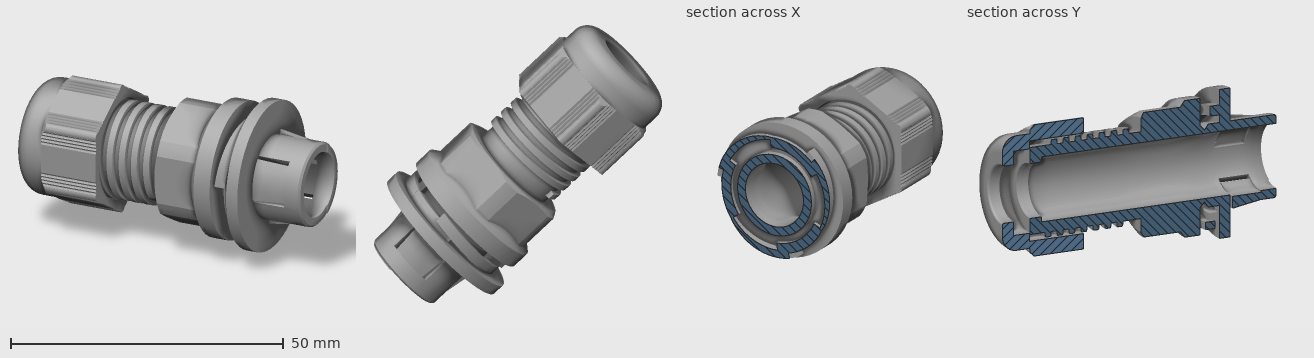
import cadquery as cq
import math

ACROSS_FLATS = 21.92
APOTHEM = ACROSS_FLATS / 2
HEX_SIDES = 6
OVERLAP = 0.2

CAP_LENGTH = 17.0
DOME_LENGTH = 5.78
DOME_RADIUS = 2.99
MOUTH_RADIUS = 10.8 / 2
MOUTH_ROUND = 0.45
MOUTH_DEPTH = 2.4
SEAL_CAVITY_RADIUS = 15.98 / 2
CAP_BORE_RADIUS = 19.05 / 2
CORNER_CLIP_RADIUS = 12.2
RIB_WIDTH = 1.96
RIB_ROUND = 0.9
RIB_TIP_RADIUS = 12.53
GRIP_CHAMFER = 0.9
SERRATIONS = 4
SERRATION_START = 2.78
SERRATION_WIDTH = 0.65
SERRATION_DEPTH = 0.25

BARREL_RADIUS = 16.64 / 2
CREST_RADIUS = 18.5 / 2
THREAD_PITCH = 2.5
CREST_WIDTH = 1.2
THREAD_ROOT_WIDTH = 1.4
THREAD_TURNS = 7.35
THREAD_START = 8.33
THREAD_START_ANGLE = 90

HEX_START = 28.93
HEX_CORNER_RADIUS = 23.8 / 2
HEX_CHAMFER_LENGTH = 0.55
HEX_FACE_RADIUS = 10.85
BEVEL_START = 36.37
BEVEL_BREAK = 37.12
BEVEL_BREAK_RADIUS = 11.85
FLANGE_START = 38.05
FLANGE_END = 41.33
FLANGE_RADIUS = 26.1 / 2

NECK_RADIUS = 13.83 / 2
NECK_START_RADIUS = 15.64 / 2
NECK_MIDDLE = 42.2
TAIL_RADIUS = 15.9 / 2
TAIL_START = 43.0
TAIL_END = 57.2
TAIL_CHAMFER = 0.38
TOTAL_LENGTH = 57.38
TAIL_LIP_RADIUS = 7.55
TAIL_LIP_EDGE = 3.3
ENTRY_RADIUS = 10.36 / 2
ENTRY_LENGTH = 2.5
HUB_BORE_RADIUS = 12.3 / 2

DISC_START = 45.28
DISC_END = 47.58
DISC_RADIUS = 28.46 / 2
SPRINGS = 3
SPRING_STEP = 360 / SPRINGS
SPRING_TIP_ANGLE = 174
SPRING_SWEEP = 79
SPRING_TIP_X = 41.93
SPRING_WIDTH = 2.05
SPRING_OUTER_RADIUS = 12.3
SPRING_OFFSET = 1.11
SPRING_INNER_RADIUS = 10.7
SPRING_ROOT_RADIUS = 11.3
SPRING_ROOT_INNER_RADIUS = 9.3
SPRING_ROOT_X = 43.36
SPRING_ROOT_SWEEP = 62

CLAW_ANGLE = 164.6
WINDOW_SWEEP = 65.2
CLAW_SWEEP = 52
CLAW_START = 48.0
CLAW_END = 53.93
CLAW_TIP_RADIUS = 8.85
CLAW_INNER_RADIUS = 13 / 2


def cross_section(x):
    """Sketch plane across the gland axis."""
    return cq.Workplane("YZ", origin=(x, 0, 0))


def turned(half_profile):
    """Revolve a closed list of (x, radius) points about the X axis."""
    return cq.Workplane("XY").polyline(half_profile).close().revolve(360, (0, 0, 0), (1, 0, 0))


def cylinder(start, end, radius):
    return cross_section(start).circle(radius).extrude(end - start)


def hexagon(start, end):
    """Hexagonal prism with two flats facing +Y and -Y."""
    corner_diameter = ACROSS_FLATS / math.cos(math.pi / HEX_SIDES)
    prism = cross_section(start).polygon(HEX_SIDES, corner_diameter).extrude(end - start)
    return about_axis(prism, 180 / HEX_SIDES)


def about_axis(shape, angle):
    return shape.rotate((0, 0, 0), (1, 0, 0), angle)


def ring_sector(start, end, inner, outer, middle_angle, sweep):
    """Part of a ring, cut out by two planes through the axis."""
    profile = cq.Workplane("XY").moveTo(start, inner).lineTo(end, inner).lineTo(end, outer)
    ring = profile.lineTo(start, outer).close().revolve(sweep, (0, 0, 0), (1, 0, 0))
    return about_axis(ring, middle_angle - sweep / 2)


def cap_serrations():
    """V-grooves on both ends of every grip flat."""
    grooves = cq.Workplane("YZ")
    for index in range(SERRATIONS):
        near = SERRATION_START + index * SERRATION_WIDTH
        middle = near + SERRATION_WIDTH / 2
        far = near + SERRATION_WIDTH
        points = [(APOTHEM, near), (APOTHEM - SERRATION_DEPTH, middle), (APOTHEM, far)]
        groove = cross_section(DOME_LENGTH).polyline(points).close().extrude(CAP_LENGTH - DOME_LENGTH)
        grooves = grooves.add(groove).add(groove.mirror("XY"))
    return grooves.combine()


def cap_grip():
    length = CAP_LENGTH - DOME_LENGTH
    grip = hexagon(DOME_LENGTH, CAP_LENGTH)
    grip = grip.intersect(cylinder(DOME_LENGTH, CAP_LENGTH, CORNER_CLIP_RADIUS))
    grooves = cap_serrations()
    rib_height = RIB_TIP_RADIUS - APOTHEM
    rib = cross_section(DOME_LENGTH).center(0, APOTHEM + rib_height / 2).rect(RIB_WIDTH, rib_height)
    rib = rib.extrude(length).faces(">Z").edges("|X").fillet(RIB_ROUND)
    for side in range(HEX_SIDES):
        grip = grip.cut(about_axis(grooves, side * 360 / HEX_SIDES))
    for side in range(HEX_SIDES):
        grip = grip.union(about_axis(rib, side * 360 / HEX_SIDES))
    chamfer_limit = turned([
        (DOME_LENGTH, 0),
        (DOME_LENGTH, RIB_TIP_RADIUS - GRIP_CHAMFER),
        (DOME_LENGTH + GRIP_CHAMFER, RIB_TIP_RADIUS),
        (CAP_LENGTH, RIB_TIP_RADIUS),
        (CAP_LENGTH, 0),
    ])
    return grip.intersect(chamfer_limit)


def make_cap_nut():
    dome = cylinder(0, DOME_LENGTH, APOTHEM).faces("<X").edges().fillet(DOME_RADIUS)
    cap = dome.union(cap_grip())
    cap = cap.cut(cylinder(0, MOUTH_DEPTH, MOUTH_RADIUS))
    cap = cap.cut(cylinder(MOUTH_DEPTH, DOME_LENGTH, SEAL_CAVITY_RADIUS))
    cap = cap.cut(cylinder(DOME_LENGTH, CAP_LENGTH, CAP_BORE_RADIUS))
    mouth_edge = cap.faces("<X").edges(cq.selectors.RadiusNthSelector(0))
    return mouth_edge.fillet(MOUTH_ROUND)


def barrel_thread():
    """Right-handed ridge wound round the barrel."""
    height = THREAD_PITCH * THREAD_TURNS
    path = cq.Wire.makeHelix(THREAD_PITCH, height, BARREL_RADIUS)
    sunk = BARREL_RADIUS - OVERLAP
    profile = [
        (sunk, -THREAD_ROOT_WIDTH / 2),
        (CREST_RADIUS, -CREST_WIDTH / 2),
        (CREST_RADIUS, CREST_WIDTH / 2),
        (sunk, THREAD_ROOT_WIDTH / 2),
    ]
    ridge = cq.Workplane("XZ").polyline(profile).close().sweep(cq.Workplane(path), isFrenet=True)
    ridge = ridge.rotate((0, 0, 0), (0, 1, 0), 90)
    ridge = about_axis(ridge, THREAD_START_ANGLE + 90)
    return ridge.translate((THREAD_START, 0, 0))


def wrench_hexagon():
    outline = turned([
        (HEX_START, 0),
        (HEX_START, HEX_FACE_RADIUS),
        (HEX_START + HEX_CHAMFER_LENGTH, HEX_CORNER_RADIUS),
        (FLANGE_START, HEX_CORNER_RADIUS),
        (FLANGE_START, 0),
    ])
    return hexagon(HEX_START, FLANGE_START).intersect(outline)


def flange_neck_and_tail():
    return turned([
        (BEVEL_START, 0),
        (BEVEL_START, APOTHEM),
        (BEVEL_BREAK, BEVEL_BREAK_RADIUS),
        (FLANGE_START, FLANGE_RADIUS),
        (FLANGE_END, FLANGE_RADIUS),
        (FLANGE_END, NECK_START_RADIUS),
        (NECK_MIDDLE, NECK_RADIUS),
        (TAIL_START, TAIL_RADIUS),
        (TAIL_END - TAIL_CHAMFER, TAIL_RADIUS),
        (TAIL_END, TAIL_RADIUS - TAIL_CHAMFER),
        (TAIL_END, 0),
    ])


def tail_lip():
    """Low raised segment on the +Y side of the tail end."""
    lip = cylinder(TAIL_END - OVERLAP, TOTAL_LENGTH, TAIL_LIP_RADIUS)
    size = 2 * TAIL_LIP_RADIUS
    side = cq.Workplane("XY").box(size, size, size).translate((TAIL_END, TAIL_LIP_EDGE + size / 2, 0))
    return lip.intersect(side)


def spring():
    """Ramp that winds towards the disc from its free tip, and the block that holds it to the disc."""
    rise = SPRING_ROOT_X - SPRING_TIP_X
    pitch = rise * 360 / SPRING_SWEEP
    path = cq.Wire.makeHelix(pitch, rise, SPRING_OUTER_RADIUS, lefthand=True)
    thickness = SPRING_OUTER_RADIUS + OVERLAP - SPRING_INNER_RADIUS
    section = cq.Workplane("XZ").center(SPRING_INNER_RADIUS + thickness / 2, SPRING_WIDTH / 2)
    ramp = section.rect(thickness, SPRING_WIDTH).sweep(cq.Workplane(path), isFrenet=True)
    ramp = ramp.rotate((0, 0, 0), (0, 1, 0), 90)
    ramp = about_axis(ramp, 90).translate((SPRING_TIP_X, 0, 0))
    trim = cross_section(FLANGE_END).center(SPRING_OFFSET, 0).circle(SPRING_OUTER_RADIUS - SPRING_OFFSET)
    ramp = ramp.intersect(trim.extrude(DISC_END - FLANGE_END))
    ramp = about_axis(ramp, SPRING_TIP_ANGLE)
    root_middle = SPRING_TIP_ANGLE - SPRING_SWEEP - SPRING_ROOT_SWEEP / 2
    root = ring_sector(
        SPRING_ROOT_X, DISC_START + OVERLAP, SPRING_ROOT_INNER_RADIUS, SPRING_ROOT_RADIUS,
        root_middle, SPRING_ROOT_SWEEP,
    )
    return ramp.union(root)


def snap_claw():
    """Tapered tongue, held at the end nearer the tail end."""
    profile = [
        (CLAW_START, CLAW_INNER_RADIUS),
        (CLAW_START, CLAW_TIP_RADIUS),
        (CLAW_END, TAIL_RADIUS),
        (CLAW_END + OVERLAP, TAIL_RADIUS - OVERLAP),
        (CLAW_END + OVERLAP, CLAW_INNER_RADIUS),
    ]
    claw = cq.Workplane("XY").polyline(profile).close().revolve(CLAW_SWEEP, (0, 0, 0), (1, 0, 0))
    return about_axis(claw, CLAW_ANGLE - CLAW_SWEEP / 2)


def make_gland_body():
    body = cylinder(DOME_LENGTH, HEX_START + OVERLAP, BARREL_RADIUS)
    body = body.union(barrel_thread())
    body = body.union(wrench_hexagon())
    body = body.union(flange_neck_and_tail())
    body = body.union(tail_lip())
    body = body.union(cylinder(DISC_START, DISC_END, DISC_RADIUS))
    body = body.cut(cylinder(DOME_LENGTH, DOME_LENGTH + ENTRY_LENGTH, ENTRY_RADIUS))
    body = body.cut(cylinder(DOME_LENGTH + ENTRY_LENGTH, TOTAL_LENGTH, HUB_BORE_RADIUS))
    window = ring_sector(
        DISC_END, CLAW_END, HUB_BORE_RADIUS - OVERLAP, CLAW_TIP_RADIUS, CLAW_ANGLE, WINDOW_SWEEP
    )
    for index in range(SPRINGS):
        turn = index * SPRING_STEP
        body = body.union(about_axis(spring(), turn))
        body = body.cut(about_axis(window, turn))
        body = body.union(about_axis(snap_claw(), turn))
    return body


cap_nut = make_cap_nut()
gland_body = make_gland_body()
result = cq.Compound.makeCompound([cap_nut.solids().val(), gland_body.solids().val()])